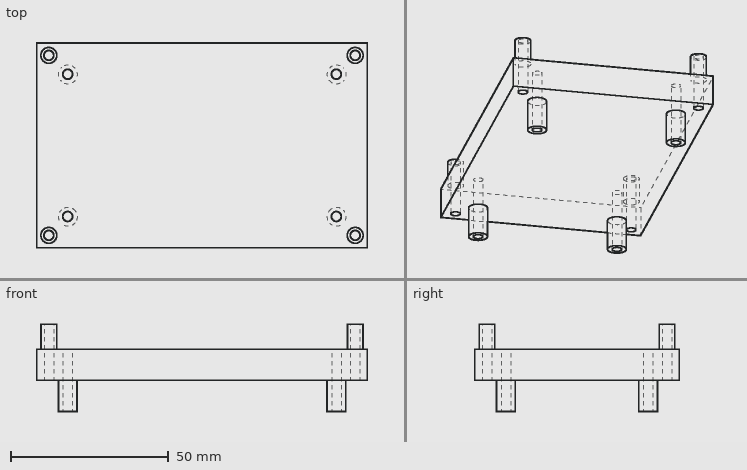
import cadquery as cq

plate_length = 105
plate_width = 65.0
plate_thickness = 9.9

top_post_diameter = 5.0
top_post_height = 8.0
top_post_x = 48.6
top_post_y = 28.6
bottom_post_diameter = 6.0
total_height = 27.8
bottom_post_height = total_height - plate_thickness - top_post_height
bottom_post_x = 42.6
bottom_post_y = 22.6

bore_diameter = 3.0


def four_corners(x, y):
    """Centres mirrored about both middle planes of the plate."""
    return [(sx * x, sy * y) for sx in (-1, 1) for sy in (-1, 1)]


def cylinders(centres, diameter, bottom_z, height):
    """Equal upright cylinders standing on the height bottom_z."""
    return (
        cq.Workplane("XY", origin=(0, 0, bottom_z))
        .pushPoints(centres)
        .circle(diameter / 2)
        .extrude(height)
    )


top_centres = four_corners(top_post_x, top_post_y)
bottom_centres = four_corners(bottom_post_x, bottom_post_y)

plate = cq.Workplane("XY").box(plate_length, plate_width, plate_thickness, centered=(True, True, False))
top_posts = cylinders(top_centres, top_post_diameter, plate_thickness, top_post_height)
bottom_posts = cylinders(bottom_centres, bottom_post_diameter, -bottom_post_height, bottom_post_height)
bores = cylinders(top_centres + bottom_centres, bore_diameter, -bottom_post_height, total_height)

result = plate.union(top_posts).union(bottom_posts).cut(bores)